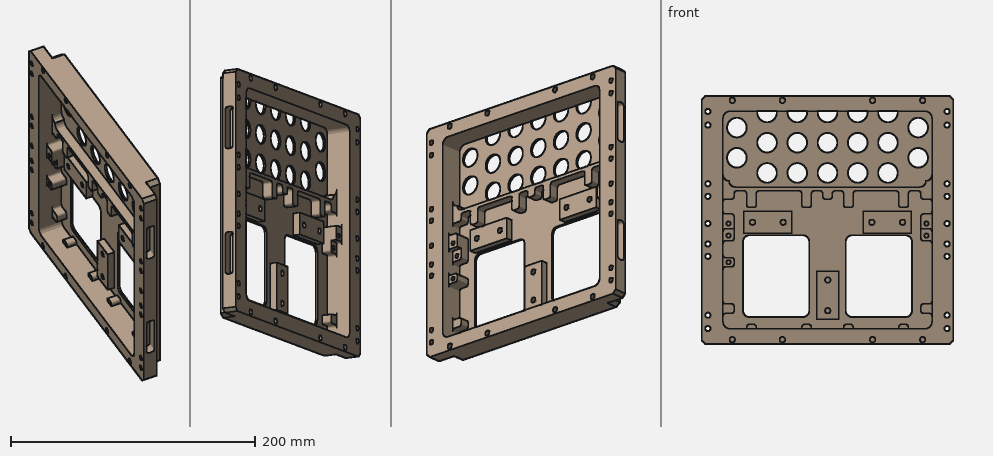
import cadquery as cq
import math

width = 206.4
height = 203.3
depth = 23.0
flange_depth = 12.0
body_half_width = 88.0
outer_chamfer = 3.0
body_chamfer_x = 4.1
tolerance = 2.06e-06
overlap = 0.6

floor_thickness = 1.9
floor_y = depth - floor_thickness
pocket_half_width = 85.6
pocket_half_height = 89.1
pocket_radius = 5.8

rib_height = 8.7
tall_tab_height = 13.5
mount_height = 6.2
corner_radius = 2.0
notch_radius = 2.5
finger_half_width = 4.0
finger_offsets = (-62.3, -17.1, 17.1, 62.3)
stub_top_z = -85.5

rib_top_z = 27.0
rib_notch_z = 24.0
rib_short_z = 17.1
rib_finger_z = 10.3
scallop_radius = 5.0

vent_diameter = 15.9
vent_pitch = 24.8
vent_center_z = 63.3
window_width = 54.0
window_height = 66.9
window_center = (42.0, -46.0)
window_radius = 5.2
flange_hole_diameter = 4.1
flange_hole_x = 98.0
flange_hole_levels = (89.0, 77.8, 29.7, 19.5, -2.9, -19.6, -29.7, -78.0, -89.0)
rim_hole_diameter = 4.5
rim_hole_depth = 8.3
rim_hole_z = 98.0
rim_hole_offsets = (-78.0, -37.0, 37.0, 78.0)

tab_tip_x = 76.5
stepped_tab_top_z = 5.0
stepped_tab_step_z = -7.2
stepped_tab_bottom_z = -17.1
stepped_tab_holes_z = (-2.9, -12.8)
left_tab_top_z = -30.7
left_tab_bottom_z = -38.4
low_tab_top_z = -68.7
low_tab_bottom_z = -76.5
tab_hole_diameter = 3.5
tab_hole_x = 81.0
tab_hole_depth = 6.2

mount_length = 39.6
mount_width = 18.4
mount_hole_spacing = 25.2
mount_hole_diameter = 4.5
mount_hole_depth = 5.2
upper_mount_x = 49.0
upper_mount_z = -1.9
lower_mount_x = 0.2
lower_mount_z = -61.7

slot_length = 35.0
slot_width = 7.2
slot_depth = 8.3
slot_radius = 2.5
slot_y = 6.2
slot_z = 52.6


def front_plane(y):
    """XZ workplane at depth y; a negative extrusion runs toward +Y."""
    return cq.Workplane("XZ", origin=(0, y, 0))


def rounded_prism(corners, y_front, y_back):
    """Extrude an XZ outline of (x, z, radius) corners from y_front to y_back."""
    vertices = []
    for i, (x, z, radius) in enumerate(corners):
        if radius == 0:
            vertices.append(((x, z),))
            continue
        toward = []
        for nx, nz, _ in (corners[i - 1], corners[(i + 1) % len(corners)]):
            length = math.hypot(nx - x, nz - z)
            toward.append(((nx - x) / length, (nz - z) / length))
        (ax, az), (bx, bz) = toward
        sag = radius * (1 - math.sqrt(0.5))
        vertices.append((
            (x + radius * ax, z + radius * az),
            (x + sag * (ax + bx), z + sag * (az + bz)),
            (x + radius * bx, z + radius * bz),
        ))
    outline = front_plane(y_front).moveTo(*vertices[0][-1])
    last = vertices[0][-1]
    for vertex in vertices[1:] + vertices[:1]:
        if math.dist(last, vertex[0]) > tolerance:
            outline = outline.lineTo(*vertex[0])
        if len(vertex) == 3:
            outline = outline.threePointArc(vertex[1], vertex[2])
        last = vertex[-1]
    return outline.close().extrude(y_front - y_back)


def drill(points, diameter, y_start, length):
    """Round cutters at (x, z) points, running from y_start toward +Y."""
    return front_plane(y_start).pushPoints(points).circle(diameter / 2).extrude(-length)


def frame():
    """Flange and narrower rear body, hollowed by one open-fronted pocket."""
    flange = front_plane(0).rect(width, height).extrude(-flange_depth)
    flange = flange.edges("|Y").chamfer(outer_chamfer)
    half_height = height / 2
    flat_half = body_half_width - body_chamfer_x
    side_half = half_height - outer_chamfer
    body = (
        front_plane(0)
        .polyline([
            (-flat_half, half_height), (flat_half, half_height),
            (body_half_width, side_half), (body_half_width, -side_half),
            (flat_half, -half_height), (-flat_half, -half_height),
            (-body_half_width, -side_half), (-body_half_width, side_half),
        ])
        .close()
        .extrude(-depth)
    )
    pocket = rounded_prism(
        [
            (-pocket_half_width, pocket_half_height, pocket_radius),
            (pocket_half_width, pocket_half_height, pocket_radius),
            (pocket_half_width, -pocket_half_height, pocket_radius),
            (-pocket_half_width, -pocket_half_height, pocket_radius),
        ],
        0, floor_y,
    )
    return flange.union(body).cut(pocket)


def cross_rib():
    """Rib across the pocket: scalloped upper corners, teeth along the lower edge."""
    r = corner_radius
    wall = pocket_half_width
    buried = wall + overlap
    step_x = wall - scallop_radius
    step_z = rib_top_z + scallop_radius
    wall_top_z = step_z + scallop_radius
    flare_z = rib_short_z - r
    inner, outer = finger_offsets[2:]
    tooth_half = finger_half_width

    right = [
        (step_x, rib_top_z, scallop_radius),
        (step_x, step_z, 0),
        (wall, step_z, scallop_radius),
        (wall, wall_top_z, 0),
        (buried, wall_top_z, 0),
        (buried, flare_z, 0),
        (wall, flare_z, 0),
        (wall, rib_short_z, r),
        (tab_tip_x, rib_short_z, r),
        (tab_tip_x, rib_notch_z, notch_radius),
    ]
    for center in (outer, inner):
        right += [
            (center + tooth_half, rib_notch_z, notch_radius),
            (center + tooth_half, rib_finger_z, r),
            (center - tooth_half, rib_finger_z, r),
            (center - tooth_half, rib_notch_z, notch_radius),
        ]
    right += [(tooth_half, rib_notch_z, notch_radius), (tooth_half, rib_short_z, r)]
    left = [(-x, z, radius) for x, z, radius in reversed(right)]
    return rounded_prism(right + left, floor_y - rib_height, floor_y + overlap)


def side_tab(side, top_z, bottom_z, tab_height, lower_tip_radius=corner_radius):
    """Tab on a side wall, flared where it meets the wall; side is -1 or 1."""
    r = corner_radius
    wall = side * pocket_half_width
    buried = wall + side * overlap
    tip = side * tab_tip_x
    corners = [
        (buried, top_z + r, 0), (wall, top_z + r, 0), (wall, top_z, r),
        (tip, top_z, r), (tip, bottom_z, lower_tip_radius),
        (wall, bottom_z, r), (wall, bottom_z - r, 0), (buried, bottom_z - r, 0),
    ]
    return rounded_prism(corners, floor_y - tab_height, floor_y + overlap)


def bottom_stub(center):
    """Short stub on the bottom wall, in line with a rib finger."""
    base_z = -pocket_half_height - overlap
    left = center - finger_half_width
    right = center + finger_half_width
    corners = [
        (left, base_z, 0), (left, stub_top_z, notch_radius),
        (right, stub_top_z, notch_radius), (right, base_z, 0),
    ]
    return rounded_prism(corners, floor_y - rib_height, floor_y + overlap)


def mount_block(x, z, angle):
    """Block on the floor with two blind holes along its length."""
    block = (
        front_plane(floor_y - mount_height)
        .rect(mount_length, mount_width)
        .extrude(-mount_height - overlap)
    )
    hole_x = mount_hole_spacing / 2
    holes = drill([(-hole_x, 0), (hole_x, 0)], mount_hole_diameter,
                  floor_y - mount_height, mount_hole_depth)
    return block.cut(holes).rotate((0, 0, 0), (0, 1, 0), angle).translate((x, 0, z))


def vents():
    """Staggered vent holes through the floor of the upper bay."""
    points = []
    for column in range(-2, 3):
        for row in (-1, 0, 1):
            points.append((column * vent_pitch, vent_center_z + row * vent_pitch))
    for column in (-3, 3):
        for row in (-0.5, 0.5):
            points.append((column * vent_pitch, vent_center_z + row * vent_pitch))
    return drill(points, vent_diameter, floor_y, floor_thickness)


def windows():
    """Pair of rounded openings through the floor of the lower bay."""
    x, z = window_center
    return (
        front_plane(floor_y)
        .pushPoints([(-x, z), (x, z)])
        .rect(window_width, window_height)
        .extrude(-floor_thickness)
        .edges("|Y")
        .fillet(window_radius)
    )


def side_slot(side, z):
    """Blind slot cut into an outer side face; side is -1 or 1."""
    return (
        cq.Workplane("XY")
        .box(2 * slot_depth, slot_width, slot_length)
        .edges("|X")
        .fillet(slot_radius)
        .translate((side * width / 2, slot_y, z))
    )


def tab_hole(side, z, tab_height):
    return drill([(side * tab_hole_x, z)], tab_hole_diameter, floor_y - tab_height, tab_hole_depth)


result = frame().union(cross_rib())

upper_hole_z, lower_hole_z = stepped_tab_holes_z
for side in (-1, 1):
    result = result.union(side_tab(side, stepped_tab_top_z, stepped_tab_bottom_z, rib_height))
    result = result.union(side_tab(side, stepped_tab_top_z, stepped_tab_step_z, tall_tab_height, 0))
    result = result.union(side_tab(side, low_tab_top_z, low_tab_bottom_z, rib_height))
    result = result.cut(tab_hole(side, upper_hole_z, tall_tab_height))
    result = result.cut(tab_hole(side, lower_hole_z, rib_height))

left_tab_hole_z = (left_tab_top_z + left_tab_bottom_z) / 2
result = result.union(side_tab(-1, left_tab_top_z, left_tab_bottom_z, tall_tab_height))
result = result.cut(tab_hole(-1, left_tab_hole_z, tall_tab_height))

for offset in finger_offsets:
    result = result.union(bottom_stub(offset))

result = result.cut(vents()).cut(windows())
for side in (-1, 1):
    result = result.union(mount_block(side * upper_mount_x, upper_mount_z, 0))
result = result.union(mount_block(lower_mount_x, lower_mount_z, 90))

flange_points = [(side * flange_hole_x, z) for side in (-1, 1) for z in flange_hole_levels]
rim_points = [(x, side * rim_hole_z) for side in (-1, 1) for x in rim_hole_offsets]
result = result.cut(drill(flange_points, flange_hole_diameter, 0, flange_depth))
result = result.cut(drill(rim_points, rim_hole_diameter, 0, rim_hole_depth))
for side in (-1, 1):
    for slot_center_z in (-slot_z, slot_z):
        result = result.cut(side_slot(side, slot_center_z))